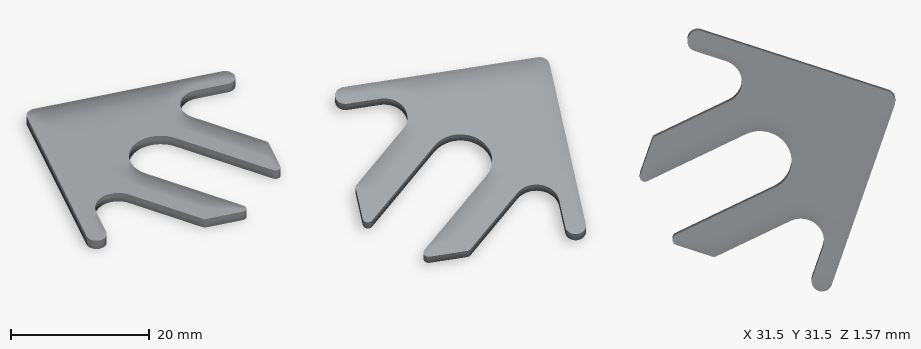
import cadquery as cq
import math

SIDE = 31.5
THICKNESS = 1.57
CORNER_RADIUS = 1.5
CENTER_SLOT_RADIUS = 4.575
PRONG_WIDTH = 5.4
NOTCH_RADIUS = 3.35
PRONG_TIP_RADIUS = 0.75

COS_45 = math.sqrt(0.5)
ARM_WIDTH = 2 * CORNER_RADIUS
ARM_END = SIDE - CORNER_RADIUS
SLOT_CENTER = SIDE / 2
SLOT_WALL_OFFSET = CENTER_SLOT_RADIUS / COS_45
PRONG_WALL_OFFSET = (CENTER_SLOT_RADIUS + PRONG_WIDTH) / COS_45
NOTCH_X = ARM_WIDTH + NOTCH_RADIUS
NOTCH_Y = NOTCH_X + PRONG_WALL_OFFSET + NOTCH_RADIUS / COS_45

corner_start = (0, CORNER_RADIUS)
arm_outer = (0, ARM_END)
arm_tip = (CORNER_RADIUS, SIDE)
arm_inner = (ARM_WIDTH, ARM_END)
notch_start = (ARM_WIDTH, NOTCH_Y)
notch_bottom = (NOTCH_X, NOTCH_Y - NOTCH_RADIUS)
notch_end = (NOTCH_X + NOTCH_RADIUS * COS_45, NOTCH_Y - NOTCH_RADIUS * COS_45)
prong_outer_tip = (SIDE - PRONG_WALL_OFFSET, SIDE)
prong_inner_tip = (SIDE - SLOT_WALL_OFFSET, SIDE)
slot_start = (SLOT_CENTER - CENTER_SLOT_RADIUS * COS_45, SLOT_CENTER + CENTER_SLOT_RADIUS * COS_45)

slot_bottom = (SLOT_CENTER - CENTER_SLOT_RADIUS * COS_45, SLOT_CENTER - CENTER_SLOT_RADIUS * COS_45)
corner_middle = (CORNER_RADIUS * (1 - COS_45), CORNER_RADIUS * (1 - COS_45))


def mirrored(point):
    """Reflect a point across the diagonal y = x."""
    x, y = point
    return (y, x)


def plate():
    """Flat bracket, symmetric about the diagonal, with sharp prong tips."""
    return (
        cq.Workplane("XY")
        .moveTo(*corner_start)
        .lineTo(*arm_outer)
        .threePointArc(arm_tip, arm_inner)
        .lineTo(*notch_start)
        .threePointArc(notch_bottom, notch_end)
        .lineTo(*prong_outer_tip)
        .lineTo(*prong_inner_tip)
        .lineTo(*slot_start)
        .threePointArc(slot_bottom, mirrored(slot_start))
        .lineTo(*mirrored(prong_inner_tip))
        .lineTo(*mirrored(prong_outer_tip))
        .lineTo(*mirrored(notch_end))
        .threePointArc(mirrored(notch_bottom), mirrored(notch_start))
        .lineTo(*mirrored(arm_inner))
        .threePointArc(mirrored(arm_tip), mirrored(arm_outer))
        .lineTo(*mirrored(corner_start))
        .threePointArc(corner_middle, corner_start)
        .close()
        .extrude(THICKNESS)
    )


def round_prong_tips(body):
    """Round the two upright edges at the end of each prong."""
    tips = [prong_outer_tip, prong_inner_tip]
    tips += [mirrored(tip) for tip in tips]
    for x, y in tips:
        tip_edge = cq.selectors.NearestToPointSelector((x, y, THICKNESS / 2))
        body = body.edges("|Z").edges(tip_edge).fillet(PRONG_TIP_RADIUS)
    return body


result = round_prong_tips(plate())